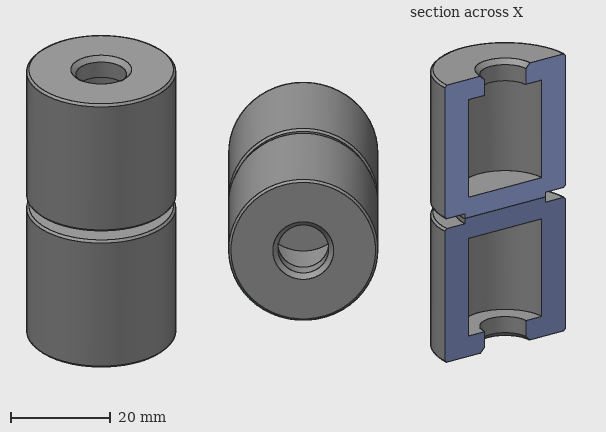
import cadquery as cq

total_height = 60.0
half_height = total_height / 2
body_radius = 15.0
edge_chamfer = 0.5

neck_radius = 10.0
neck_height = 1.0

bore_radius = 5.1
bore_chamfer = 1.0
end_wall = 4.5
cavity_radius = 9.0


def make_outside():
    """Chamfered cylinder standing on its neck, with the mating face at z = 0."""
    barrel = (
        cq.Workplane("XY")
        .workplane(offset=neck_height)
        .circle(body_radius)
        .extrude(half_height - neck_height)
        .edges()
        .chamfer(edge_chamfer)
    )
    neck = cq.Workplane("XY").circle(neck_radius).extrude(neck_height)
    return barrel.union(neck)


def make_hollow():
    """Revolved tool for the cavity, the entry bore and its countersink."""
    cavity_floor = end_wall
    cavity_roof = half_height - end_wall
    return (
        cq.Workplane("XZ")
        .moveTo(0, cavity_floor)
        .lineTo(cavity_radius, cavity_floor)
        .lineTo(cavity_radius, cavity_roof)
        .lineTo(bore_radius, cavity_roof)
        .lineTo(bore_radius, half_height - bore_chamfer)
        .lineTo(bore_radius + bore_chamfer, half_height)
        .lineTo(0, half_height)
        .close()
        .revolve(360, (0, 0, 0), (0, 1, 0))
    )


def make_coupling_half():
    """One hollow half with its bore at the top."""
    return make_outside().cut(make_hollow())


coupling_halves = []
for turn in (0, 180):
    half = (
        make_coupling_half()
        .rotate((0, 0, 0), (1, 0, 0), turn)
        .translate((0, 0, half_height))
    )
    coupling_halves.append(half.val())

result = cq.Compound.makeCompound(coupling_halves)